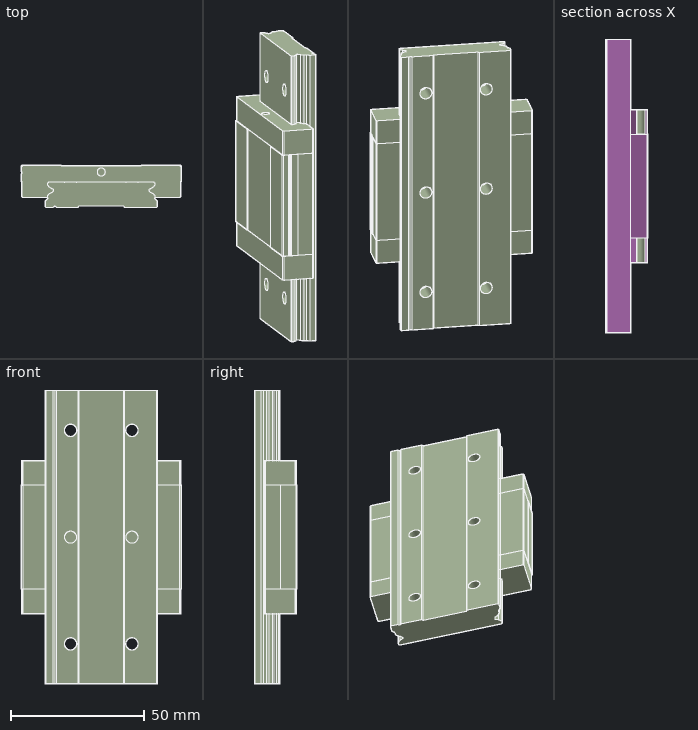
import cadquery as cq


RAIL_LENGTH = 110.0
RAIL_HEIGHT = 9.5
BASE_HALF_WIDTH = 21.0
BASE_SIDE_HEIGHT = 2.4
BASE_CHAMFER = 0.3
HEAD_HALF_WIDTH = 20.1
HEAD_CHAMFER = 0.4
SHOULDER_HEIGHT = 3.4

TRACK_CENTRE_HEIGHT = 6.4
TRACK_EDGE_OFFSET = 1.95
TRACK_LIP_OFFSET = 1.65
TRACK_LIP_HALF_WIDTH = 19.85
TRACK_KINK_OFFSET = 0.95
TRACK_KINK_HALF_WIDTH = 19.1
TRACK_ROOT_TOP = (17.8, 6.75)
TRACK_ROOT_MIDDLE = (18.05, 6.05)

RELIEF_HALF_WIDTH = 8.8
RELIEF_WALL_WIDTH = 0.45
RELIEF_DEPTH = 0.5
DATUM_GROOVE_X = -17.4
DATUM_GROOVE_HALF_WIDTH = 0.65
DATUM_GROOVE_DEPTH = 0.5

HOLE_DIAMETER = 4.5
HOLE_SPACING = 23.0
HOLE_PITCH = 40.0
HOLE_ROWS = 3

CARRIAGE_BOTTOM = 3.7
CARRIAGE_TOP = 16.0
BLOCK_LENGTH = 38.9
BLOCK_HALF_WIDTH = 30.0
BLOCK_SKIRT_HALF_WIDTH = 29.8
BLOCK_STEP_HEIGHT = 9.8
CARRIAGE_CHAMFER = 0.4

PAD_RECESS_HALF_WIDTH = 15.0
PAD_RECESS_DEPTH = 0.3

NOTCH_HEIGHT = 13.0
NOTCH_HALF_WIDTH = 0.5
NOTCH_FLOOR_HALF_WIDTH = 0.2
NOTCH_DEPTH = 0.3

CAP_LENGTH = 9.25
CAP_HALF_WIDTH = BLOCK_SKIRT_HALF_WIDTH
CAP_TOP = CARRIAGE_TOP - PAD_RECESS_DEPTH
GREASE_HOLE_DIAMETER = 3.0
GREASE_HOLE_HEIGHT = 13.3


def along_z(length, z_centre=0.0):
    """Sketch plane for a profile that is then extruded by `length`, centred on `z_centre`."""
    return cq.Workplane("XY", origin=(0, 0, z_centre - length / 2))


def prism(corners, length):
    """Straight prism along Z over the given corners, centred on Z = 0."""
    return along_z(length).polyline(corners).close().extrude(length)


def rail_envelope(length, z_centre=0.0):
    """Rail section without its relief, datum groove and holes; also the channel of the carriage."""
    half = (
        along_z(length, z_centre)
        .moveTo(0, 0)
        .lineTo(BASE_HALF_WIDTH - BASE_CHAMFER, 0)
        .lineTo(BASE_HALF_WIDTH, BASE_CHAMFER)
        .lineTo(BASE_HALF_WIDTH, BASE_SIDE_HEIGHT)
        .lineTo(HEAD_HALF_WIDTH, SHOULDER_HEIGHT)
        .lineTo(HEAD_HALF_WIDTH, TRACK_CENTRE_HEIGHT - TRACK_EDGE_OFFSET)
        .lineTo(TRACK_LIP_HALF_WIDTH, TRACK_CENTRE_HEIGHT - TRACK_LIP_OFFSET)
        .lineTo(TRACK_KINK_HALF_WIDTH, TRACK_CENTRE_HEIGHT - TRACK_KINK_OFFSET)
        .threePointArc(TRACK_ROOT_MIDDLE, TRACK_ROOT_TOP)
        .lineTo(TRACK_KINK_HALF_WIDTH, TRACK_CENTRE_HEIGHT + TRACK_KINK_OFFSET)
        .lineTo(TRACK_LIP_HALF_WIDTH, TRACK_CENTRE_HEIGHT + TRACK_LIP_OFFSET)
        .lineTo(HEAD_HALF_WIDTH, TRACK_CENTRE_HEIGHT + TRACK_EDGE_OFFSET)
        .lineTo(HEAD_HALF_WIDTH, RAIL_HEIGHT - HEAD_CHAMFER)
        .lineTo(HEAD_HALF_WIDTH - HEAD_CHAMFER, RAIL_HEIGHT)
        .lineTo(0, RAIL_HEIGHT)
        .close()
        .extrude(length)
    )
    return half.union(half.mirror("YZ")).clean()


def make_rail():
    relief_floor_half_width = RELIEF_HALF_WIDTH - RELIEF_WALL_WIDTH
    relief = prism(
        [
            (-RELIEF_HALF_WIDTH, 0),
            (RELIEF_HALF_WIDTH, 0),
            (relief_floor_half_width, RELIEF_DEPTH),
            (-relief_floor_half_width, RELIEF_DEPTH),
        ],
        RAIL_LENGTH,
    )
    datum_groove = prism(
        [
            (DATUM_GROOVE_X - DATUM_GROOVE_HALF_WIDTH, 0),
            (DATUM_GROOVE_X + DATUM_GROOVE_HALF_WIDTH, 0),
            (DATUM_GROOVE_X, DATUM_GROOVE_DEPTH),
        ],
        RAIL_LENGTH,
    )
    holes = (
        cq.Workplane("XZ")
        .rarray(HOLE_SPACING, HOLE_PITCH, 2, HOLE_ROWS)
        .circle(HOLE_DIAMETER / 2)
        .extrude(-RAIL_HEIGHT)
    )
    return rail_envelope(RAIL_LENGTH).cut(relief).cut(datum_groove).cut(holes)


def make_block():
    half = (
        along_z(BLOCK_LENGTH)
        .moveTo(0, CARRIAGE_BOTTOM)
        .lineTo(BLOCK_SKIRT_HALF_WIDTH - CARRIAGE_CHAMFER, CARRIAGE_BOTTOM)
        .lineTo(BLOCK_SKIRT_HALF_WIDTH, CARRIAGE_BOTTOM + CARRIAGE_CHAMFER)
        .lineTo(BLOCK_SKIRT_HALF_WIDTH, BLOCK_STEP_HEIGHT)
        .lineTo(BLOCK_HALF_WIDTH, BLOCK_STEP_HEIGHT)
        .lineTo(BLOCK_HALF_WIDTH, CARRIAGE_TOP - CARRIAGE_CHAMFER)
        .lineTo(BLOCK_HALF_WIDTH - CARRIAGE_CHAMFER, CARRIAGE_TOP)
        .lineTo(PAD_RECESS_HALF_WIDTH, CARRIAGE_TOP)
        .lineTo(PAD_RECESS_HALF_WIDTH, CARRIAGE_TOP - PAD_RECESS_DEPTH)
        .lineTo(0, CARRIAGE_TOP - PAD_RECESS_DEPTH)
        .close()
        .extrude(BLOCK_LENGTH)
    )
    notch = prism(
        [
            (-BLOCK_HALF_WIDTH, NOTCH_HEIGHT - NOTCH_HALF_WIDTH),
            (-BLOCK_HALF_WIDTH + NOTCH_DEPTH, NOTCH_HEIGHT - NOTCH_FLOOR_HALF_WIDTH),
            (-BLOCK_HALF_WIDTH + NOTCH_DEPTH, NOTCH_HEIGHT + NOTCH_FLOOR_HALF_WIDTH),
            (-BLOCK_HALF_WIDTH, NOTCH_HEIGHT + NOTCH_HALF_WIDTH),
        ],
        BLOCK_LENGTH,
    )
    body = half.union(half.mirror("YZ")).clean()
    return body.cut(notch).cut(rail_envelope(BLOCK_LENGTH))


def make_end_cap(side):
    """End cap on the +Z (side = 1) or -Z (side = -1) end of the block."""
    z_centre = side * (BLOCK_LENGTH + CAP_LENGTH) / 2
    body = (
        along_z(CAP_LENGTH, z_centre)
        .center(0, (CARRIAGE_BOTTOM + CAP_TOP) / 2)
        .rect(2 * CAP_HALF_WIDTH, CAP_TOP - CARRIAGE_BOTTOM)
        .extrude(CAP_LENGTH)
        .edges("|Z")
        .chamfer(CARRIAGE_CHAMFER)
    )
    grease_hole = (
        along_z(CAP_LENGTH, z_centre)
        .center(0, GREASE_HOLE_HEIGHT)
        .circle(GREASE_HOLE_DIAMETER / 2)
        .extrude(CAP_LENGTH)
    )
    return body.cut(grease_hole).cut(rail_envelope(CAP_LENGTH, z_centre))


rail = make_rail()
block = make_block()
end_caps = [make_end_cap(side) for side in (1, -1)]

result = cq.Compound.makeCompound([rail.val(), block.val(), *[cap.val() for cap in end_caps]])